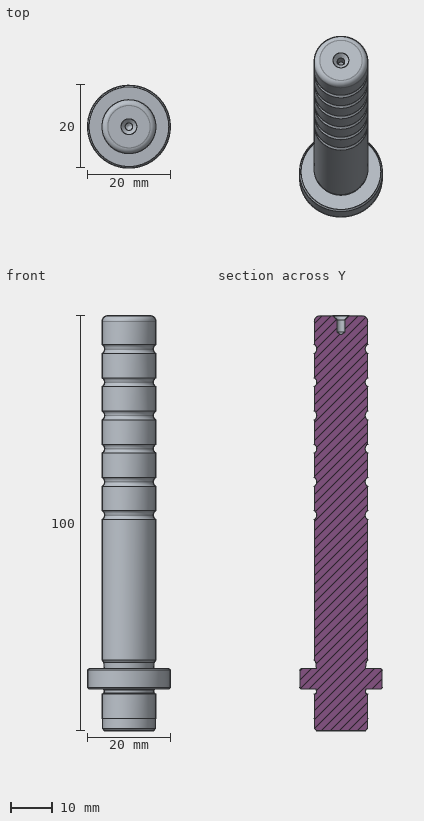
import cadquery as cq
import math

length = 100.0
shaft_radius = 6.5

crown_radius = 1.4

groove_count = 6
groove_pitch = 8.0
groove_width = 2.1
groove_depth = 0.6
groove_floor = 0.1
top_land_length = 7.0

collar_radius = 10.0
collar_bottom = 10.0
collar_top = 15.0
collar_chamfer = 0.4
neck_radius = 6.0
upper_neck_top_radius = 6.1
upper_neck_length = 2.0
upper_neck_lip = 0.5
lower_neck_length = 1.2
lower_neck_stub_bevel = 0.3
lower_neck_collar_bevel = 0.2

lead_in_radius = 6.4
lead_in_height = 3.0
end_chamfer = 0.5

countersink_radius = 1.9
center_bore_radius = 0.9
center_bore_depth = 4.0
drill_tip_angle = 120.0


def make_body():
    """Revolve the stepped outline of the pin, without its grooves."""
    neck_top = collar_top + upper_neck_length
    stub_top = collar_bottom - lower_neck_length
    outline = (
        cq.Workplane("XZ")
        .moveTo(0, 0)
        .lineTo(lead_in_radius - end_chamfer, 0)
        .lineTo(lead_in_radius, end_chamfer)
        .lineTo(lead_in_radius, lead_in_height)
        .lineTo(shaft_radius, lead_in_height)
        .lineTo(shaft_radius, stub_top)
        .lineTo(neck_radius, stub_top + lower_neck_stub_bevel)
        .lineTo(neck_radius, collar_bottom - lower_neck_collar_bevel)
        .lineTo(neck_radius + lower_neck_collar_bevel, collar_bottom)
        .lineTo(collar_radius - collar_chamfer, collar_bottom)
        .lineTo(collar_radius, collar_bottom + collar_chamfer)
        .lineTo(collar_radius, collar_top - collar_chamfer)
        .lineTo(collar_radius - collar_chamfer, collar_top)
        .lineTo(neck_radius, collar_top)
        .lineTo(upper_neck_top_radius, neck_top - upper_neck_lip)
        .lineTo(shaft_radius, neck_top)
        .lineTo(shaft_radius, length - crown_radius)
        .radiusArc((shaft_radius - crown_radius, length), -crown_radius)
        .lineTo(0, length)
        .close()
    )
    return outline.revolve(360, (0, 0, 0), (0, 1, 0))


def make_groove(top):
    """Ring with a concave inner wall, two mirrored arcs tangent to a narrow floor."""
    arc_height = (groove_width - groove_floor) / 2
    bottom = top - groove_width
    floor_radius = shaft_radius - groove_depth
    arc_radius = (arc_height**2 + groove_depth**2) / (2 * groove_depth)
    return (
        cq.Workplane("XZ")
        .moveTo(shaft_radius, bottom)
        .radiusArc((floor_radius, bottom + arc_height), arc_radius)
        .lineTo(floor_radius, top - arc_height)
        .radiusArc((shaft_radius, top), arc_radius)
        .lineTo(collar_radius, top)
        .lineTo(collar_radius, bottom)
        .close()
        .revolve(360, (0, 0, 0), (0, 1, 0))
    )


def make_center_hole():
    """Countersunk blind hole on the axis, entering from the top face."""
    countersink_bottom = length - (countersink_radius - center_bore_radius)
    bore_bottom = length - center_bore_depth
    drill_tip_depth = center_bore_radius / math.tan(math.radians(drill_tip_angle / 2))
    return (
        cq.Workplane("XZ")
        .moveTo(0, length)
        .lineTo(countersink_radius, length)
        .lineTo(center_bore_radius, countersink_bottom)
        .lineTo(center_bore_radius, bore_bottom)
        .lineTo(0, bore_bottom - drill_tip_depth)
        .close()
        .revolve(360, (0, 0, 0), (0, 1, 0))
    )


result = make_body().cut(make_center_hole())
for index in range(groove_count):
    groove_top = length - top_land_length - index * groove_pitch
    result = result.cut(make_groove(groove_top))